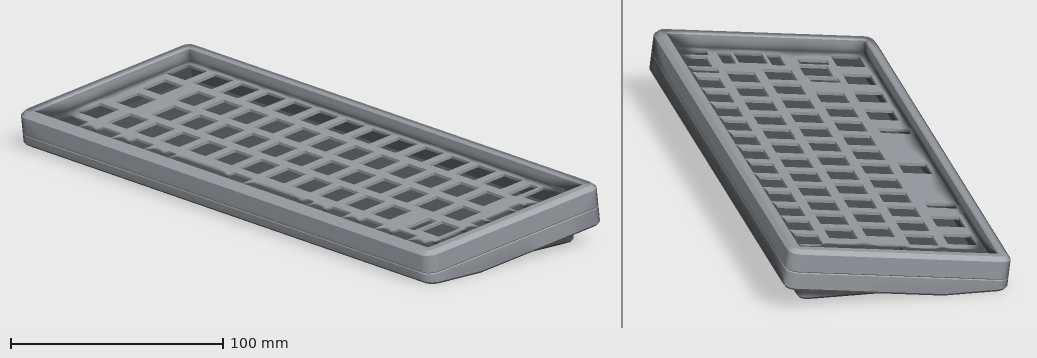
import cadquery as cq
import math

CASE_WIDTH = 298.7
SIDE_WALL = 6.5
END_WALL = 6.0
END_MARGIN = 0.5
ROW_UNITS = 15
ROW_COUNT = 5
INNER_WIDTH = CASE_WIDTH - 2 * SIDE_WALL
KEY_PITCH = INNER_WIDTH / ROW_UNITS
INNER_DEPTH = ROW_COUNT * KEY_PITCH + 2 * END_MARGIN

CASE_DEPTH = INNER_DEPTH + 2 * END_WALL
BOTTOM_HEIGHT = 9.3
TOP_HEIGHT = 11.0
CASE_HEIGHT = BOTTOM_HEIGHT + TOP_HEIGHT
FLOOR = 4.2
CORNER_RADIUS = 6.0
INNER_RADIUS = 1.0
RIM_CHAMFER = 2.0
RIM_INNER_CHAMFER = 0.5
SEAM_CHAMFER = 0.45

TILT_ANGLE = 7.0
GROUND_LINE = -22.5

UNDERSIDE_CHAMFER = 1.2
FOOT_INSET = 9.5
FOOT_RADIUS = 5.5
FOOT_HEIGHT = 12.0
FOOT_BACK = CASE_DEPTH / 2 - FOOT_INSET
FOOT_FRONT = GROUND_LINE - 12.0

PLATE_THICKNESS = 1.5
PLATE_RECESS = 7.0
PLATE_TOP = CASE_HEIGHT - PLATE_RECESS
PLATE_UNDERSIDE = PLATE_TOP - PLATE_THICKNESS
TAB_LENGTH = 10.5
TAB_REACH = 3.5
TAB_CLEARANCE = 1.0
TAB_COLUMNS = (-7, -3.5, 2, 6.5)

ENTER_UNITS = 1.25
SWITCH_SIZE = 14.0
SWITCH_RADIUS = 0.5
STABILIZER_RADIUS = 1.0
STABILIZER_WIDTH = 6.5
STABILIZER_LENGTH = 14.5
STABILIZER_SHIFT = 1.5
SHORT_STABILIZER = 12.0
LONG_STABILIZER = 50.0

KEY_ROWS = (
    [1] * 13 + [2],
    [1.5] + [1] * 12,
    [1.75] + [1] * 12,
    [1.25] + [1] * 11 + [2.75],
    [1.25] * 3 + [6.25] + [1.25] * 4,
)


GROUND = cq.Workplane("XY").rect(2 * CASE_WIDTH, 2 * CASE_WIDTH).extrude(-CASE_DEPTH)


def block(width, depth, bottom, height, radius):
    return (
        cq.Workplane("XY", origin=(0, 0, bottom))
        .rect(width, depth)
        .extrude(height)
        .edges("|Z")
        .fillet(radius)
    )


def key_places():
    """Centre and width in key units of every key that lies in a single row."""
    places = []
    for row, widths in enumerate(KEY_ROWS):
        y = ((ROW_COUNT - 1) / 2 - row) * KEY_PITCH
        left = -ROW_UNITS / 2
        for width in widths:
            places.append(((left + width / 2) * KEY_PITCH, y, width))
            left += width
    return places


def through_plate(points, width, depth, radius):
    cutter = block(width, depth, PLATE_UNDERSIDE, PLATE_THICKNESS, radius).val()
    return [cutter.moved(cq.Location(cq.Vector(x, y, 0))) for x, y in points]


def tab_blocks(height):
    centres = [(column * KEY_PITCH, side * INNER_DEPTH / 2) for column in TAB_COLUMNS for side in (-1, 1)]
    return (
        cq.Workplane("XY", origin=(0, 0, PLATE_UNDERSIDE))
        .pushPoints(centres)
        .rect(TAB_LENGTH, 2 * TAB_REACH)
        .extrude(height)
    )


def make_plate():
    plate = block(INNER_WIDTH, INNER_DEPTH, PLATE_UNDERSIDE, PLATE_THICKNESS, INNER_RADIUS)
    plate = plate.union(tab_blocks(PLATE_THICKNESS))
    places = key_places()
    enter = ((ROW_UNITS - ENTER_UNITS) / 2 * KEY_PITCH, KEY_PITCH / 2)
    switches = [(x, y) for x, y, units in places] + [enter]
    stabilizers = []
    for x, y, units in places:
        if units >= 2:
            reach = LONG_STABILIZER if units > 3 else SHORT_STABILIZER
            stabilizers += [(x + side * reach, y - STABILIZER_SHIFT) for side in (-1, 1)]
    enter_stabilizers = [(enter[0] - STABILIZER_SHIFT, enter[1] + side * SHORT_STABILIZER) for side in (-1, 1)]
    cutters = through_plate(switches, SWITCH_SIZE, SWITCH_SIZE, SWITCH_RADIUS)
    cutters += through_plate(stabilizers, STABILIZER_WIDTH, STABILIZER_LENGTH, STABILIZER_RADIUS)
    cutters += through_plate(enter_stabilizers, STABILIZER_LENGTH, STABILIZER_WIDTH, STABILIZER_RADIUS)
    return cq.Workplane(plate.val().cut(*cutters))


def make_top():
    top = block(CASE_WIDTH, CASE_DEPTH, BOTTOM_HEIGHT, TOP_HEIGHT, CORNER_RADIUS)
    top = top.faces(">Z").chamfer(RIM_CHAMFER).faces("<Z").chamfer(SEAM_CHAMFER)
    top = top.cut(block(INNER_WIDTH, INNER_DEPTH, BOTTOM_HEIGHT, TOP_HEIGHT, INNER_RADIUS))
    top = top.faces(">Z").wires(cq.selectors.LengthNthSelector(0)).chamfer(RIM_INNER_CHAMFER)
    return top.cut(tab_blocks(PLATE_THICKNESS + TAB_CLEARANCE))


def make_foot():
    foot = block(CASE_WIDTH - 2 * FOOT_INSET, FOOT_BACK - FOOT_FRONT, -FOOT_HEIGHT, FOOT_HEIGHT, FOOT_RADIUS)
    foot = tilted(foot.translate((0, (FOOT_BACK + FOOT_FRONT) / 2, 0))).cut(GROUND)
    return foot.faces("<Z").chamfer(UNDERSIDE_CHAMFER)


def make_bottom():
    tray = block(CASE_WIDTH, CASE_DEPTH, 0, BOTTOM_HEIGHT, CORNER_RADIUS)
    tray = tilted(tray.faces(">Z").chamfer(SEAM_CHAMFER)).cut(GROUND)
    front_strip = tray.faces("<Z").edges("not >Y")
    underside = tray.faces(cq.selectors.NearestToPointSelector((0, -GROUND_LINE, 0))).edges("not <Y")
    tray = front_strip.add(underside).chamfer(UNDERSIDE_CHAMFER)
    cavity = tilted(block(INNER_WIDTH, INNER_DEPTH, FLOOR, BOTTOM_HEIGHT, INNER_RADIUS))
    return tray.union(make_foot()).cut(cavity)


def tilted(body):
    turned = body.rotate((0, 0, 0), (1, 0, 0), TILT_ANGLE)
    return turned.translate((0, 0, -GROUND_LINE * math.tan(math.radians(TILT_ANGLE))))


bottom = make_bottom()
top = tilted(make_top())
plate = tilted(make_plate())
result = cq.Compound.makeCompound([bottom.val(), top.val(), plate.val()])